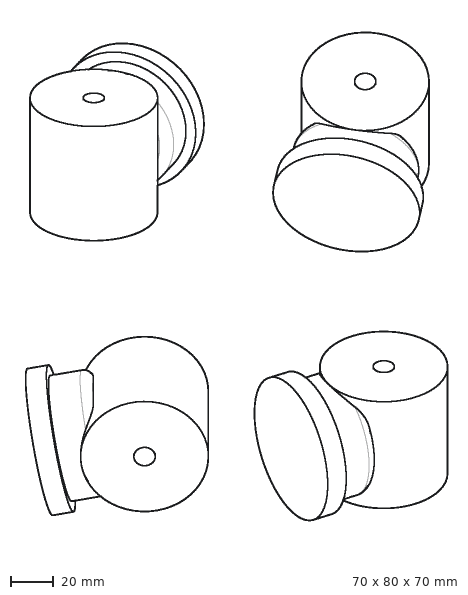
import cadquery as cq

barrel_diameter = 60.0
barrel_height = 60.0
bore_diameter = 10.0
flange_diameter = 70.0
flange_thickness = 10.0
hub_diameter = barrel_height
hub_length = 20.0
hub_fillet = 5.0
total_depth = 80.0

plug_back_y = total_depth - barrel_diameter / 2
hub_start_y = plug_back_y - flange_thickness


def disc_toward_front(diameter, length, back_y):
    """Cylinder along Y that runs from back_y toward -Y."""
    return cq.Workplane("XZ", origin=(0, back_y, 0)).circle(diameter / 2).extrude(length)


def make_barrel():
    """Upright cylinder with a bore through its whole height."""
    return (
        cq.Workplane("XY", origin=(0, 0, -barrel_height / 2))
        .circle(barrel_diameter / 2)
        .circle(bore_diameter / 2)
        .extrude(barrel_height)
    )


def make_plug(barrel):
    """Flange and round-rimmed hub, with a saddle in the hub that seats on the barrel."""
    flange = disc_toward_front(flange_diameter, flange_thickness, plug_back_y)
    hub = disc_toward_front(hub_diameter, hub_length, hub_start_y)
    hub = hub.faces("<Y").edges().fillet(hub_fillet)
    return flange.union(hub).cut(barrel)


barrel = make_barrel()
plug = make_plug(barrel)

result = cq.Compound.makeCompound([barrel.val(), *plug.vals()])